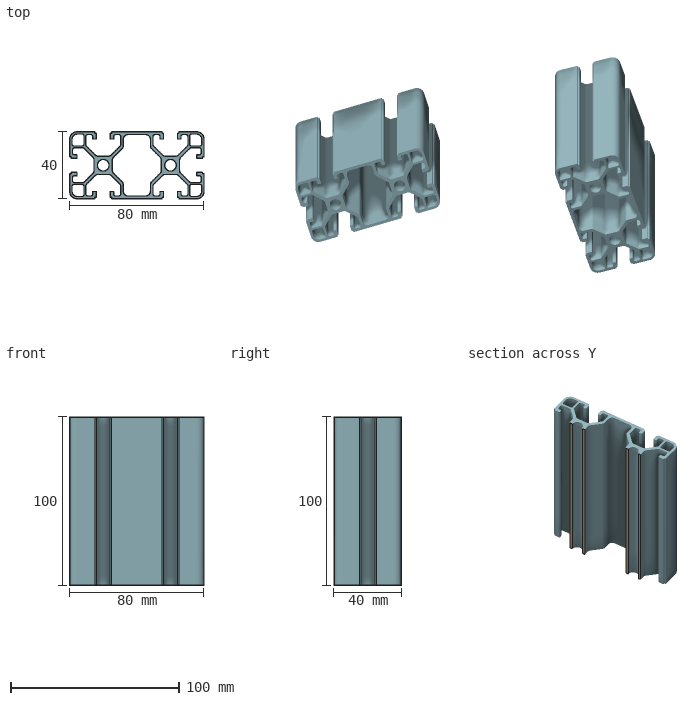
import cadquery as cq
import math

MODULE = 40.0
WIDTH = 2 * MODULE
DEPTH = MODULE
LENGTH = 100.0
CORNER_RADIUS = 4.5

HALF_CELL = MODULE / 2
CELL_CENTRES_X = (-HALF_CELL, HALF_CELL)

CORE_HALF = 5.5
BORE_DIAMETER = 6.8
WEB_OFFSET = 1.4
CORE_FILLET = 2.0

MOUTH_HALF = 5.0
MOUTH_DEPTH = 0.9
MOUTH_ROUND = 0.3
NECK_HALF = 4.1
LIP_HALF = 6.3
LIP_DEPTH = 4.5
LIP_ROUND = 0.4
SLOT_HALF = 10.3
SKIN = 1.8
SLOT_FILLET = 1.0
SLOT_SHOULDER_FILLET = 1.0

POCKET_NEAR = 1.5
POCKET_FAR = 8.5
POCKET_FILLET = 0.9
POCKET_OUTER_RADIUS = CORNER_RADIUS - POCKET_NEAR

CAVITY_HALF = 8.0
CAVITY_FILLET = 2.7
CAVITY_SHOULDER_FILLET = 2.5

PLACE_TOLERANCE = 1e-4


def toward(start, end, distance):
    """Point at a given distance from start on the line to end."""
    share = distance / math.dist(start, end)
    return tuple(a + (b - a) * share for a, b in zip(start, end))


def rounded_prism(corners):
    """Full-length prism over a closed outline of (x, y, corner radius) entries."""
    count = len(corners)
    outline = None
    for i, (x, y, radius) in enumerate(corners):
        corner = (x, y)
        before = corners[i - 1][:2]
        after = corners[(i + 1) % count][:2]
        heading_in = math.atan2(before[1] - y, before[0] - x)
        heading_out = math.atan2(after[1] - y, after[0] - x)
        half_angle = abs(math.remainder(heading_out - heading_in, math.tau)) / 2
        tangent_length = radius / math.tan(half_angle)
        arc_start = toward(corner, before, tangent_length)
        arc_end = toward(corner, after, tangent_length)
        chord_middle = tuple((a + b) / 2 for a, b in zip(arc_start, arc_end))
        if outline is None:
            outline = cq.Workplane("XY").moveTo(*arc_start)
        else:
            outline = outline.lineTo(*arc_start)
        if radius > 0:
            arc_middle = toward(corner, chord_middle, radius / math.sin(half_angle) - radius)
            outline = outline.threePointArc(arc_middle, arc_end)
    return outline.close().extrude(LENGTH)


def mirrored_x(corners):
    """Corners followed by their mirror image across the Y axis, in reverse order."""
    return corners + [(-x, y, radius) for x, y, radius in reversed(corners)]


def t_slot():
    """T-slot opening through the +Y face of a cell centred on the origin."""
    lip_back = HALF_CELL - LIP_DEPTH
    mouth_floor = HALF_CELL - MOUTH_DEPTH
    ceiling = HALF_CELL - SKIN
    right_half = [
        (CORE_HALF - WEB_OFFSET, CORE_HALF, CORE_FILLET),
        (SLOT_HALF, SLOT_HALF + WEB_OFFSET, SLOT_SHOULDER_FILLET),
        (SLOT_HALF, ceiling, SLOT_FILLET),
        (LIP_HALF, ceiling, SLOT_FILLET),
        (LIP_HALF, lip_back, LIP_ROUND),
        (NECK_HALF, lip_back, LIP_ROUND),
        (NECK_HALF, mouth_floor, LIP_ROUND),
        (MOUTH_HALF, mouth_floor, 0),
        (MOUTH_HALF, HALF_CELL, 0),
    ]
    return rounded_prism(mirrored_x(right_half))


def corner_pocket():
    """Closed pocket in the +X +Y corner of the profile."""
    near_x = WIDTH / 2 - POCKET_NEAR
    far_x = WIDTH / 2 - POCKET_FAR
    near_y = DEPTH / 2 - POCKET_NEAR
    far_y = DEPTH / 2 - POCKET_FAR
    return rounded_prism([
        (near_x, near_y, POCKET_OUTER_RADIUS),
        (far_x, near_y, POCKET_FILLET),
        (far_x, far_y, POCKET_FILLET),
        (near_x, far_y, POCKET_FILLET),
    ])


def central_cavity():
    """Closed cavity bounded by the cores, the inner webs and the outer walls."""
    core_face = HALF_CELL - CORE_HALF
    ceiling = HALF_CELL - SKIN
    shoulder = HALF_CELL - CAVITY_HALF - WEB_OFFSET
    upper_right = [
        (core_face, CORE_HALF - WEB_OFFSET, CORE_FILLET),
        (CAVITY_HALF, shoulder, CAVITY_SHOULDER_FILLET),
        (CAVITY_HALF, ceiling, CAVITY_FILLET),
    ]
    upper = mirrored_x(upper_right)
    lower = [(x, -y, radius) for x, y, radius in reversed(upper)]
    return rounded_prism(upper + lower)


def outer_bar():
    """Solid bar with rounded long edges."""
    bar = cq.Workplane("XY").rect(WIDTH, DEPTH).extrude(LENGTH)
    return bar.edges("|Z").fillet(CORNER_RADIUS)


def all_slots():
    """Two slots on each long side and one on each short side."""
    long_sides = [(angle, x) for angle in (0, 180) for x in CELL_CENTRES_X]
    short_sides = [(90, CELL_CENTRES_X[0]), (-90, CELL_CENTRES_X[1])]
    slot = t_slot()
    return [
        slot.rotate((0, 0, 0), (0, 0, 1), angle).translate((x, 0, 0))
        for angle, x in long_sides + short_sides
    ]


def all_corner_pockets():
    """Corner pocket mirrored into all four corners."""
    right_back = corner_pocket()
    left_back = right_back.mirror("YZ")
    return [right_back, left_back, right_back.mirror("XZ"), left_back.mirror("XZ")]


def bores():
    """Round bore along the centre of each core."""
    centres = [(x, 0) for x in CELL_CENTRES_X]
    return cq.Workplane("XY").pushPoints(centres).circle(BORE_DIAMETER / 2).extrude(LENGTH)


def same_place(first, second):
    """True when two coordinates agree within modelling accuracy."""
    return math.isclose(first, second, abs_tol=PLACE_TOLERANCE)


def is_mouth_edge(edge):
    """True for the long edges where a slot mouth meets an outer face."""
    middle = edge.Center()
    on_long_side = same_place(abs(middle.y), DEPTH / 2)
    on_short_side = same_place(abs(middle.x), WIDTH / 2)
    beside_long_mouth = same_place(abs(abs(middle.x) - HALF_CELL), MOUTH_HALF)
    beside_short_mouth = same_place(abs(middle.y), MOUTH_HALF)
    return (on_long_side and beside_long_mouth) or (on_short_side and beside_short_mouth)


profile = outer_bar()
for void in [*all_slots(), *all_corner_pockets(), central_cavity(), bores()]:
    profile = profile.cut(void)

mouth_edges = profile.edges("|Z").filter(is_mouth_edge)
result = mouth_edges.fillet(MOUTH_ROUND)